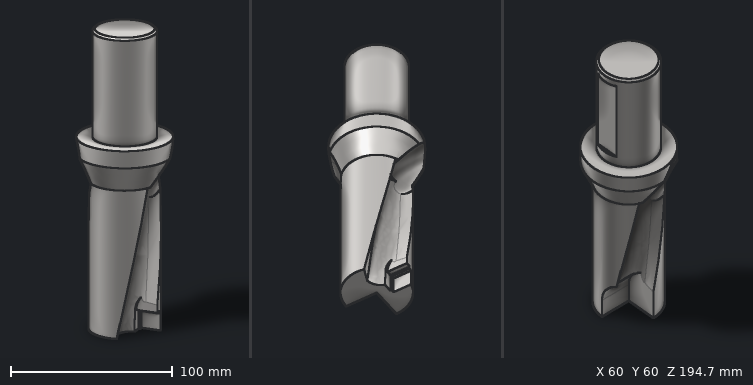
import cadquery as cq
import math

LENGTH = 194.7
SHANK_RADIUS = 20.0
COLLAR_RADIUS = 30.0
BODY_DIAMETER = 45.0
BODY_RADIUS = BODY_DIAMETER / 2
CONE_BOTTOM_Z = 96.5
CONE_TOP_Z = 113.5
COLLAR_TOP_Z = 124.5
SHANK_CHAMFER = 1.5

FLAT_Y = 18.1
FLAT_BOTTOM_Z = 131.8
FLAT_TOP_Z = 188.5

TWIST_PER_UNIT = 0.5343
SECTION_Z = 26.5
FLANK_MOUTH = (15.8, -28.0)
FLANK_FOOT = (3.9, -11.7)
FLOOR_MIDDLE = (5.8, -4.0)
WALL_FOOT = (14.6, 0.4)
WALL_MOUTH = (31.1, 2.0)
FLUTE_TOP_Z = CONE_BOTTOM_Z

CHANNEL_RADIUS = 10.5
CHANNEL_BEND = 42.8
CHANNEL_SWEEP = 70.0
CHANNEL_TILT = 32.0
CHANNEL_START = (18.9, 0.8, 88.8)
CHANNEL_FLARE = 15.0
CHANNEL_WALL = 19.5

INNER_STRAIGHT_Z = 13.2
INNER_TOP_Z = 30.8
OUTER_WALL_X = 8.2
OUTER_SEAT_Y = 5.0
OUTER_SEAT_Z = 11.7
OUTER_LEDGE_Y = 3.0
OUTER_LEDGE_WIDTH = 1.0
OUTER_LEDGE_Z = 13.2
OUTER_RELIEF_Y = -0.5
OUTER_RELIEF_RISE = 9.0
OUTER_RELIEF_WIDTH = 3.5

CLEAR = 2 * COLLAR_RADIUS


def turned_body():
    profile = [
        (0, 0),
        (BODY_RADIUS, 0),
        (BODY_RADIUS, CONE_BOTTOM_Z),
        (COLLAR_RADIUS, CONE_TOP_Z),
        (COLLAR_RADIUS, COLLAR_TOP_Z),
        (SHANK_RADIUS, COLLAR_TOP_Z),
        (SHANK_RADIUS, LENGTH - SHANK_CHAMFER),
        (SHANK_RADIUS - SHANK_CHAMFER, LENGTH),
        (0, LENGTH),
    ]
    return cq.Workplane("XZ").polyline(profile).close().revolve(360, (0, 0), (0, 1))


def box(x_range, y_range, z_range):
    size = [high - low for low, high in (x_range, y_range, z_range)]
    corner = (x_range[0], y_range[0], z_range[0])
    return cq.Workplane("XY").box(*size, centered=False).translate(corner)


def helical_flute():
    """Flute on the +X side: slanted flank, rounded floor and flat trailing wall."""
    section = (
        cq.Workplane("XY")
        .moveTo(*FLANK_MOUTH)
        .lineTo(*FLANK_FOOT)
        .threePointArc(FLOOR_MIDDLE, WALL_FOOT)
        .lineTo(*WALL_MOUTH)
        .close()
    )
    cutter = section.twistExtrude(FLUTE_TOP_Z, TWIST_PER_UNIT * FLUTE_TOP_Z)
    return cutter.rotate((0, 0, 0), (0, 0, 1), -TWIST_PER_UNIT * SECTION_Z)


def flute_runout():
    """Round-bottomed channel that tilts with the flute and bends outward."""
    tilt = math.radians(CHANNEL_TILT)
    plane = cq.Plane(CHANNEL_START, (1, 0, 0), (0, math.sin(tilt), math.cos(tilt)))
    flare = math.radians(CHANNEL_FLARE)
    floor_x = -CHANNEL_RADIUS * math.sin(flare)
    floor_y = CHANNEL_RADIUS * math.cos(flare)
    mouth_x = floor_x + CHANNEL_WALL * math.cos(flare)
    mouth_y = floor_y + CHANNEL_WALL * math.sin(flare)
    channel = (
        cq.Workplane(plane)
        .moveTo(mouth_x, -mouth_y)
        .lineTo(floor_x, -floor_y)
        .threePointArc((-CHANNEL_RADIUS, 0), (floor_x, floor_y))
        .lineTo(mouth_x, mouth_y)
        .close()
    )
    return channel.revolve(CHANNEL_SWEEP, (CHANNEL_BEND, 0), (CHANNEL_BEND, 1))


def inner_pocket():
    """Pocket on the -X side whose wall curves outward above the insert."""
    rise = INNER_TOP_Z - INNER_STRAIGHT_Z
    mid = rise * math.sqrt(0.5)
    return (
        cq.Workplane("XZ")
        .moveTo(0, 0)
        .lineTo(0, INNER_STRAIGHT_Z)
        .threePointArc((mid - rise, INNER_STRAIGHT_Z + mid), (-rise, INNER_TOP_Z))
        .lineTo(-CLEAR, INNER_TOP_Z)
        .lineTo(-CLEAR, 0)
        .close()
        .extrude(-CLEAR)
    )


def outer_pocket():
    """Stepped seat on the +X side with a rounded inner wall above it."""
    seat_x = OUTER_WALL_X + OUTER_LEDGE_WIDTH
    seat = box((seat_x, CLEAR), (-CLEAR, OUTER_SEAT_Y), (0, OUTER_SEAT_Z))
    ledge = box((OUTER_WALL_X, CLEAR), (-CLEAR, OUTER_LEDGE_Y), (0, OUTER_LEDGE_Z))
    relief = (
        cq.Workplane("XZ", origin=(0, OUTER_RELIEF_Y, 0))
        .moveTo(OUTER_WALL_X, 0)
        .lineTo(OUTER_WALL_X, OUTER_LEDGE_Z)
        .tangentArcPoint((OUTER_RELIEF_WIDTH, OUTER_RELIEF_RISE))
        .lineTo(CLEAR, OUTER_LEDGE_Z + OUTER_RELIEF_RISE)
        .lineTo(CLEAR, 0)
        .close()
        .extrude(CLEAR)
    )
    return seat.union(ledge).union(relief)


def shank_flat():
    return box((-CLEAR, CLEAR), (FLAT_Y, CLEAR), (FLAT_BOTTOM_Z, FLAT_TOP_Z))


result = turned_body().cut(shank_flat())
for turn in (0, 180):
    for cutter in (helical_flute(), flute_runout()):
        result = result.cut(cutter.rotate((0, 0, 0), (0, 0, 1), turn))
result = result.cut(inner_pocket()).cut(outer_pocket())